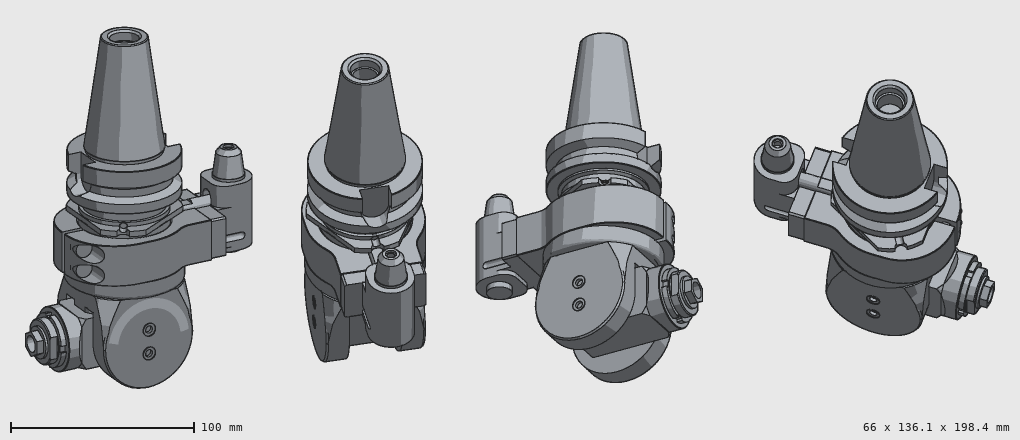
import cadquery as cq
import math


TOTAL_HEIGHT = 198.4

TAPER_TOP_R = 13.0
TAPER_BASE_R = 22.2
TAPER_BASE_Z = 133.3
TAPER_EDGE = 0.5
UNDERCUT_R = 21.6
FLANGE_R = 62.9 / 2
FLANGE_EDGE = 0.4
FLANGE_TOP_Z = 131.3
FLANGE_UPPER_Z = 121.6
V_GROOVE_R = 26.5
V_GROOVE_TOP_Z = 118.8
V_GROOVE_BOTTOM_Z = 114.3
FLANGE_LOWER_Z = 111.9
FLANGE_BOTTOM_Z = 106.1
SHOULDER_R = 25.0
SHOULDER_Z = 105.0
NECK_R = 23.0
NECK_TOP_Z = 104.0
NECK_BOTTOM_Z = 98.6
DRAWBAR_BORE_R = 8.1
DRAWBAR_BORE_DEPTH = 6.0
DRAWBAR_MOUTH_R = 9.3
DRAWBAR_HOLE_R = 7.0
DRAWBAR_HOLE_DEPTH = 10.0
KEY_SLOT_R = 8.1
KEY_SLOT_FLOOR_Y = 22.6
KEY_SLOT_CENTRE_Z = 118.5

PLATE_R = 32.1
PLATE_TOP_Z = 96.2
PLATE_BOTTOM_Z = 93.0
PLATE_FLAT_DISTANCE = 25.5
PLATE_NOTCH_R = 7.0 / 2
PLATE_SCREW_R = 4.2 / 2
PLATE_FLAT_ANGLES = (30, 150, 270)
PLATE_NOTCH_ANGLES = (90, 210, 330)

RING_R = 66.0 / 2
RING_EDGE = 0.4
RING_TOP_Z = 89.5
RING_BOTTOM_Z = 65.5
RING_FRONT_Y = 38.0
RING_FLAT_Y = 8.1
RING_SLOT_WIDTH = 3.0
RING_BORE_EDGE = 0.8
CLAMP_SCREW_ZS = (71.6, 83.5)
CLAMP_SCREW_R = 3.0
CLAMP_BORE_R = 10.5 / 2
CLAMP_HEAD_R = 5.0
CLAMP_AXIS_Y = 32.1
CLAMP_SEAT_X = 6.7
CLAMP_HEAD_X = 12.9
ARM_HALF_WIDTH = 46.2 / 2
ARM_FILLET_END_Y = 28.5
ARM_STEP_Y = 41.7
ARM_END_Y = 50.8
ARM_END_HALF_WIDTH = 22.8
ARM_CHAMFER_X = 1.2
ARM_CHAMFER_Z = 0.8

HOUSING_R = 12.9
HOUSING_Y = 64.9
HOUSING_FRONT_Y = 51.4
HOUSING_CORNER_R = 8.0
HOUSING_TOP_Z = 102.2
HOUSING_BOTTOM_Z = 63.0
LINK_BACK_Y = 61.1
LINK_BOTTOM_Z = 65.9
SIDE_GROOVE_R = 4.2 / 2
SIDE_GROOVE_Z = 71.2
SIDE_GROOVE_END_Y = 68.2
ROD_R = 9.0 / 2
ROD_Z = 88.7
ROD_FRONT_Y = 27.5
ROD_FLAT_END_Y = 40.7
ROD_FLAT_Z = 91.9
ROD_SLOT_TOP_Z = 97.0
ROD_SLOT_DEPTH = 4.0

PLUNGER_R = 14.0 / 2
PLUNGER_BOTTOM_Z = 59.7
PLUNGER_COLLAR_R = 18.0 / 2
PLUNGER_COLLAR_TOP_Z = 103.8
PLUNGER_CONE_R = 8.7
PLUNGER_SHOULDER_Z = 116.5
PLUNGER_TIP_R = 9.3 / 2
PLUNGER_TOP_Z = 119.5
PLUNGER_BORE_R = 3.0
PLUNGER_BORE_DEPTH = 1.4
PLUNGER_HOLE_R = 4.2 / 2
PLUNGER_HOLE_DEPTH = 4.0

BODY_NECK_R = 50.5 / 2
BODY_FLANGE_R = RING_R
BODY_FLANGE_BOTTOM_Z = 55.5
BODY_FLANGE_ROUND = 2.4
FORK_HALF_WIDTH = 27.8
FORK_R = 27.8
FORK_EDGE_X = 1.2
FORK_EDGE_R = 0.8
FORK_CORNER_TOP_R = 33.0
FORK_CORNER_MID_R = 37.0
FORK_CORNER_MID_Z = 41.7
FORK_CORNER_LOW_R = 38.7
FORK_SLOT_TOP_Z = 45.6
SEAT_R = 15.9
SEAT_Y = -13.0
CAP_R = 25.0
CAP_FACE_R = 19.5
CAP_HEIGHT = 0.7
CAP_SCREW_OFFSET = 14.0 / 2
CAP_SCREW_R = 3.8
CAP_SCREW_DEPTH = 0.5
CAP_SOCKET_R = 4.2 / 2
CAP_SOCKET_DEPTH = 2.5
PIVOT_Z = FORK_R

HEAD_HALF = 14.9
HEAD_BACK_Y = 14.9
HEAD_FLARE_Y = -34.7
COLLAR_R = 18.3
COLLAR_EDGE = 0.4
COLLAR_FRONT_Y = -44.5
HEAD_CORNER_R = 21.2

NUT_RING_R = 15.3
NUT_RING_LENGTH = 3.2
NUT_RING_NOTCH_WIDTH = 4.0
NUT_RING_NOTCH_DEPTH = 1.5
NUT_R = 12.9
NUT_LENGTH = 5.0
NUT_EDGE = 0.5
NUT_FLAT_X = 11.1
NUT_RIM = 0.5
WASHER_R = 9.1
WASHER_LENGTH = 1.4
HEX_FLATS = 12.9
HEX_LENGTH = 4.2
TOOL_BORE_R = 9.3 / 2
TOOL_BORE_DEPTH = 6.0


def turned_z(points):
    """Solid of revolution about Z from (radius, height) points."""
    return cq.Workplane("XZ").polyline(points).close().revolve(360, (0, 0, 0), (0, 1, 0))


def block(x0, x1, y0, y1, z0, z1):
    """Axis-aligned block between two corners."""
    return cq.Workplane("XY").box(x1 - x0, y1 - y0, z1 - z0, centered=False).translate((x0, y0, z0))


def rod_x(radius, x0, x1, y, z):
    """Cylinder along X."""
    return cq.Workplane("YZ").circle(radius).extrude(x1 - x0).translate((x0, y, z))


def rod_y(radius, y0, y1, x, z):
    """Cylinder along +Y."""
    return cq.Workplane("XZ").circle(radius).extrude(y0 - y1).translate((x, y0, z))


def rod_z(radius, z0, z1, x, y):
    """Cylinder along Z."""
    return cq.Workplane("XY").circle(radius).extrude(z1 - z0).translate((x, y, z0))


def about_z(shape, angle):
    """Shape turned about the Z axis."""
    return shape.rotate((0, 0, 0), (0, 0, 1), angle)


def ray(radius, angle, x=0, y=0):
    """Point at a radius and angle (radians) from a centre."""
    return (x + radius * math.cos(angle), y + radius * math.sin(angle))


def index_plate():
    """Round plate with three flats and, between them, three round notches."""
    plate = rod_z(PLATE_R, PLATE_BOTTOM_Z, PLATE_TOP_Z, 0, 0)
    for angle in PLATE_FLAT_ANGLES:
        flat = block(PLATE_FLAT_DISTANCE, PLATE_R, -PLATE_R, PLATE_R, PLATE_BOTTOM_Z, PLATE_TOP_Z)
        plate = plate.cut(about_z(flat, angle))
    for angle in PLATE_NOTCH_ANGLES:
        notch = rod_z(PLATE_NOTCH_R, PLATE_BOTTOM_Z, PLATE_TOP_Z, PLATE_R, 0)
        plate = plate.cut(about_z(notch, angle))
    return plate


def make_shank():
    body = turned_z([
        (0, TOTAL_HEIGHT),
        (TAPER_TOP_R - TAPER_EDGE, TOTAL_HEIGHT),
        (TAPER_TOP_R, TOTAL_HEIGHT - TAPER_EDGE),
        (TAPER_BASE_R, TAPER_BASE_Z),
        (UNDERCUT_R, TAPER_BASE_Z),
        (UNDERCUT_R, FLANGE_TOP_Z),
        (FLANGE_R - FLANGE_EDGE, FLANGE_TOP_Z),
        (FLANGE_R, FLANGE_TOP_Z - FLANGE_EDGE),
        (FLANGE_R, FLANGE_UPPER_Z),
        (V_GROOVE_R, V_GROOVE_TOP_Z),
        (V_GROOVE_R, V_GROOVE_BOTTOM_Z),
        (FLANGE_R, FLANGE_LOWER_Z),
        (FLANGE_R, FLANGE_BOTTOM_Z + FLANGE_EDGE),
        (FLANGE_R - FLANGE_EDGE, FLANGE_BOTTOM_Z),
        (SHOULDER_R, FLANGE_BOTTOM_Z),
        (SHOULDER_R, SHOULDER_Z),
        (NECK_R, NECK_TOP_Z),
        (NECK_R, NECK_BOTTOM_Z),
        (SHOULDER_R, NECK_BOTTOM_Z),
        (SHOULDER_R, PLATE_BOTTOM_Z),
        (0, PLATE_BOTTOM_Z),
    ])
    body = body.union(index_plate())

    mouth = DRAWBAR_MOUTH_R - DRAWBAR_BORE_R
    bore_floor = TOTAL_HEIGHT - DRAWBAR_BORE_DEPTH
    hole_floor = bore_floor - DRAWBAR_HOLE_DEPTH
    body = body.cut(turned_z([
        (0, TOTAL_HEIGHT),
        (DRAWBAR_MOUTH_R, TOTAL_HEIGHT),
        (DRAWBAR_BORE_R, TOTAL_HEIGHT - mouth),
        (DRAWBAR_BORE_R, bore_floor),
        (DRAWBAR_HOLE_R, bore_floor),
        (DRAWBAR_HOLE_R, hole_floor),
        (0, hole_floor),
    ]))

    for y0, y1 in ((-FLANGE_R, -KEY_SLOT_FLOOR_Y), (KEY_SLOT_FLOOR_Y, FLANGE_R)):
        body = body.cut(block(-KEY_SLOT_R, KEY_SLOT_R, y0, y1, KEY_SLOT_CENTRE_Z, FLANGE_TOP_Z))
        body = body.cut(rod_y(KEY_SLOT_R, y0, y1, 0, KEY_SLOT_CENTRE_Z))

    for angle in PLATE_NOTCH_ANGLES:
        hole = rod_x(PLATE_SCREW_R, NECK_R, PLATE_R, 0, PLATE_TOP_Z)
        body = body.cut(about_z(hole, angle))
    return body


def ring_outline():
    """Ring, squarer in front, whose flanks sweep into the arm through tangent fillets."""
    fillet_r = (ARM_HALF_WIDTH**2 + ARM_FILLET_END_Y**2 - RING_R**2) / (2 * (RING_R - ARM_HALF_WIDTH))
    fillet_x = ARM_HALF_WIDTH + fillet_r
    joint_angle = math.atan2(ARM_FILLET_END_Y, fillet_x)
    fillet_mid_angle = math.pi + joint_angle / 2

    corner_r = RING_FRONT_Y - RING_FLAT_Y
    corner_x = RING_R - corner_r

    arm_corner = (ARM_HALF_WIDTH, ARM_FILLET_END_Y)
    fillet_mid = ray(fillet_r, fillet_mid_angle, fillet_x, ARM_FILLET_END_Y)
    joint = ray(RING_R, joint_angle)
    ring_mid = ray(RING_R, joint_angle / 2)
    corner_mid = ray(corner_r, -math.pi / 4, corner_x, -RING_FLAT_Y)
    corner_end = (corner_x, -RING_FRONT_Y)

    def mirrored(point):
        return (-point[0], point[1])

    return (
        cq.Workplane("XY")
        .moveTo(ARM_HALF_WIDTH, ARM_STEP_Y)
        .lineTo(*arm_corner)
        .threePointArc(fillet_mid, joint)
        .threePointArc(ring_mid, (RING_R, 0))
        .lineTo(RING_R, -RING_FLAT_Y)
        .threePointArc(corner_mid, corner_end)
        .lineTo(*mirrored(corner_end))
        .threePointArc(mirrored(corner_mid), (-RING_R, -RING_FLAT_Y))
        .lineTo(-RING_R, 0)
        .threePointArc(mirrored(ring_mid), mirrored(joint))
        .threePointArc(mirrored(fillet_mid), mirrored(arm_corner))
        .lineTo(-ARM_HALF_WIDTH, ARM_STEP_Y)
        .close()
    )


def arm_end():
    """End of the arm, with its long edges chamfered."""
    inner_x = ARM_END_HALF_WIDTH - ARM_CHAMFER_X
    bottom_z = RING_BOTTOM_Z + RING_EDGE
    top_z = RING_TOP_Z - RING_EDGE
    low_z = bottom_z + ARM_CHAMFER_Z
    high_z = top_z - ARM_CHAMFER_Z
    return (
        cq.Workplane("XZ")
        .polyline([
            (-inner_x, bottom_z), (inner_x, bottom_z),
            (ARM_END_HALF_WIDTH, low_z), (ARM_END_HALF_WIDTH, high_z),
            (inner_x, top_z), (-inner_x, top_z),
            (-ARM_END_HALF_WIDTH, high_z), (-ARM_END_HALF_WIDTH, low_z),
        ])
        .close()
        .extrude(ARM_STEP_Y - ARM_END_Y)
        .translate((0, ARM_STEP_Y, 0))
    )


def plunger_housing():
    """Upright housing, round at the back, with the link that joins it to the arm."""
    front = block(-HOUSING_R, HOUSING_R, HOUSING_FRONT_Y, HOUSING_Y, HOUSING_BOTTOM_Z, HOUSING_TOP_Z)
    front = front.edges("|Z and <Y").fillet(HOUSING_CORNER_R)
    housing = front.union(rod_z(HOUSING_R, HOUSING_BOTTOM_Z, HOUSING_TOP_Z, 0, HOUSING_Y))
    housing = housing.union(block(-HOUSING_R, HOUSING_R, ARM_END_Y, LINK_BACK_Y, LINK_BOTTOM_Z, RING_TOP_Z))

    slot_end_y = HOUSING_FRONT_Y + ROD_SLOT_DEPTH
    slot_arc_z = ROD_SLOT_TOP_Z - ROD_R
    housing = housing.cut(block(-ROD_R, ROD_R, HOUSING_FRONT_Y, slot_end_y, RING_TOP_Z, slot_arc_z))
    housing = housing.cut(rod_y(ROD_R, HOUSING_FRONT_Y, slot_end_y, 0, slot_arc_z))

    groove_y = SIDE_GROOVE_END_Y - SIDE_GROOVE_R
    for x in (-HOUSING_R, HOUSING_R):
        groove = rod_y(SIDE_GROOVE_R, ARM_END_Y, groove_y, x, SIDE_GROOVE_Z)
        ball = cq.Workplane("XY").sphere(SIDE_GROOVE_R).translate((x, groove_y, SIDE_GROOVE_Z))
        housing = housing.cut(groove).cut(ball)
    return housing


def stop_rod():
    """Rod lying half sunk in the arm, flattened on top at its front end."""
    rod = rod_y(ROD_R, ROD_FRONT_Y, HOUSING_FRONT_Y + ROD_SLOT_DEPTH, 0, ROD_Z)
    return rod.cut(block(-ROD_R, ROD_R, ROD_FRONT_Y, ROD_FLAT_END_Y, ROD_FLAT_Z, ROD_Z + ROD_R))


def make_clamp_ring():
    ring = ring_outline().extrude(RING_TOP_Z - RING_BOTTOM_Z).translate((0, 0, RING_BOTTOM_Z))
    ring = ring.faces("<Z or >Z").edges().chamfer(RING_EDGE)

    ring = ring.cut(turned_z([
        (0, RING_BOTTOM_Z),
        (BODY_NECK_R, RING_BOTTOM_Z),
        (BODY_NECK_R, RING_TOP_Z - RING_BORE_EDGE),
        (BODY_NECK_R + RING_BORE_EDGE, RING_TOP_Z),
        (0, RING_TOP_Z),
    ]))

    half = RING_SLOT_WIDTH / 2
    ring = ring.cut(block(-half, half, -RING_FRONT_Y, 0, RING_BOTTOM_Z, RING_TOP_Z))

    for z in CLAMP_SCREW_ZS:
        ring = ring.cut(rod_x(CLAMP_BORE_R, CLAMP_SEAT_X, RING_R, -CLAMP_AXIS_Y, z))
        ring = ring.union(rod_x(CLAMP_HEAD_R, CLAMP_SEAT_X, CLAMP_HEAD_X, -CLAMP_AXIS_Y, z))
        ring = ring.union(rod_x(CLAMP_SCREW_R, -half, half, -CLAMP_AXIS_Y, z))

    ring = ring.union(arm_end()).union(plunger_housing()).union(stop_rod())
    return ring.cut(rod_z(PLUNGER_R, HOUSING_BOTTOM_Z, HOUSING_TOP_Z, 0, HOUSING_Y))


def make_plunger():
    bore_floor = PLUNGER_TOP_Z - PLUNGER_BORE_DEPTH
    hole_floor = bore_floor - PLUNGER_HOLE_DEPTH
    plunger = turned_z([
        (0, PLUNGER_BOTTOM_Z),
        (PLUNGER_R, PLUNGER_BOTTOM_Z),
        (PLUNGER_R, HOUSING_TOP_Z),
        (PLUNGER_COLLAR_R, HOUSING_TOP_Z),
        (PLUNGER_COLLAR_R, PLUNGER_COLLAR_TOP_Z),
        (PLUNGER_CONE_R, PLUNGER_COLLAR_TOP_Z),
        (PLUNGER_R, PLUNGER_SHOULDER_Z),
        (PLUNGER_TIP_R, PLUNGER_TOP_Z),
        (PLUNGER_BORE_R, PLUNGER_TOP_Z),
        (PLUNGER_BORE_R, bore_floor),
        (PLUNGER_HOLE_R, bore_floor),
        (PLUNGER_HOLE_R, hole_floor),
        (0, hole_floor),
    ])
    return plunger.translate((0, HOUSING_Y, 0))


def fork_cheeks():
    """Square upper part, corners turned conical, over a round lower part with bevelled rims."""
    top = block(-FORK_HALF_WIDTH, FORK_HALF_WIDTH, -FORK_R, FORK_R, PIVOT_Z, BODY_FLANGE_BOTTOM_Z)
    top = top.intersect(turned_z([
        (0, BODY_FLANGE_BOTTOM_Z),
        (FORK_CORNER_TOP_R, BODY_FLANGE_BOTTOM_Z),
        (FORK_CORNER_MID_R, FORK_CORNER_MID_Z),
        (FORK_CORNER_LOW_R, PIVOT_Z),
        (0, PIVOT_Z),
    ]))
    drum = (
        cq.Workplane("XY")
        .polyline([
            (-FORK_HALF_WIDTH, 0),
            (-FORK_HALF_WIDTH, FORK_R - FORK_EDGE_R),
            (FORK_EDGE_X - FORK_HALF_WIDTH, FORK_R),
            (FORK_HALF_WIDTH - FORK_EDGE_X, FORK_R),
            (FORK_HALF_WIDTH, FORK_R - FORK_EDGE_R),
            (FORK_HALF_WIDTH, 0),
        ])
        .close()
        .revolve(360, (0, 0, 0), (1, 0, 0))
        .translate((0, 0, PIVOT_Z))
    )
    return top.union(drum)


def bearing_cap():
    """Shallow cone on the -X cheek, centred on the pivot axis."""
    return (
        cq.Workplane("XY")
        .polyline([
            (-FORK_HALF_WIDTH, 0), (-FORK_HALF_WIDTH, CAP_R),
            (-FORK_HALF_WIDTH - CAP_HEIGHT, CAP_FACE_R), (-FORK_HALF_WIDTH - CAP_HEIGHT, 0),
        ])
        .close()
        .revolve(360, (0, 0, 0), (1, 0, 0))
        .translate((0, 0, PIVOT_Z))
    )


def make_fork_body():
    body = rod_z(BODY_FLANGE_R, BODY_FLANGE_BOTTOM_Z, RING_BOTTOM_Z, 0, 0)
    body = body.faces("<Z").edges().fillet(BODY_FLANGE_ROUND)
    body = body.union(rod_z(BODY_NECK_R, RING_BOTTOM_Z, PLATE_BOTTOM_Z, 0, 0))
    body = body.union(fork_cheeks())
    cap = bearing_cap()
    body = body.union(cap).union(cap.mirror("YZ"))

    face_x = FORK_HALF_WIDTH + CAP_HEIGHT
    for offset in (-CAP_SCREW_OFFSET, CAP_SCREW_OFFSET):
        for radius, depth in ((CAP_SCREW_R, CAP_SCREW_DEPTH), (CAP_SOCKET_R, CAP_SOCKET_DEPTH)):
            for x0 in (-face_x, face_x - depth):
                body = body.cut(rod_x(radius, x0, x0 + depth, 0, PIVOT_Z + offset))

    body = body.cut(block(-HEAD_HALF, HEAD_HALF, -FORK_R, FORK_R, 0, FORK_SLOT_TOP_Z))
    head_top_z = PIVOT_Z + HEAD_HALF
    seat = rod_z(SEAT_R, head_top_z, FORK_SLOT_TOP_Z, 0, SEAT_Y)
    seat = seat.intersect(block(-HEAD_HALF, HEAD_HALF, -FORK_R, FORK_R, head_top_z, FORK_SLOT_TOP_Z))
    return body.union(seat)


def square_at(y, half):
    """Square sketch across the cutter axis at a given y."""
    return cq.Workplane("XZ", origin=(0, y, PIVOT_Z)).rect(2 * half, 2 * half)


def make_swivel_head():
    flare_length = COLLAR_R - HEAD_HALF
    collar_back_y = HEAD_FLARE_Y - flare_length
    head = square_at(HEAD_BACK_Y, HEAD_HALF).extrude(HEAD_BACK_Y - HEAD_FLARE_Y)
    flare = square_at(HEAD_FLARE_Y, HEAD_HALF).workplane(offset=flare_length)
    head = head.union(flare.rect(2 * COLLAR_R, 2 * COLLAR_R).loft())
    head = head.union(square_at(collar_back_y, COLLAR_R).extrude(collar_back_y - COLLAR_FRONT_Y))

    corner_y = HEAD_FLARE_Y + HEAD_CORNER_R - COLLAR_R
    envelope = (
        cq.Workplane("XY")
        .polyline([
            (0, COLLAR_FRONT_Y), (COLLAR_R - COLLAR_EDGE, COLLAR_FRONT_Y),
            (COLLAR_R, COLLAR_FRONT_Y + COLLAR_EDGE), (COLLAR_R, HEAD_FLARE_Y),
            (HEAD_CORNER_R, corner_y), (HEAD_CORNER_R, HEAD_BACK_Y), (0, HEAD_BACK_Y),
        ])
        .close()
        .revolve(360, (0, 0, 0), (0, 1, 0))
        .translate((0, 0, PIVOT_Z))
    )
    return head.intersect(envelope)


def make_tool_spindle():
    nut_y = COLLAR_FRONT_Y - NUT_RING_LENGTH
    washer_y = nut_y - NUT_LENGTH
    hex_y = washer_y - WASHER_LENGTH
    tip_y = hex_y - HEX_LENGTH

    ring = rod_y(NUT_RING_R, nut_y, COLLAR_FRONT_Y, 0, 0)
    for angle in (0, 90, 180, 270):
        notch = block(NUT_RING_R - NUT_RING_NOTCH_DEPTH, NUT_RING_R, nut_y, COLLAR_FRONT_Y,
                      -NUT_RING_NOTCH_WIDTH / 2, NUT_RING_NOTCH_WIDTH / 2)
        ring = ring.cut(notch.rotate((0, 0, 0), (0, 1, 0), angle))

    nut = rod_y(NUT_R, washer_y, nut_y, 0, 0).faces("<Y").edges().chamfer(NUT_EDGE)
    for x0, x1 in ((-NUT_R, -NUT_FLAT_X), (NUT_FLAT_X, NUT_R)):
        nut = nut.cut(block(x0, x1, washer_y, nut_y - NUT_RIM, -NUT_R, NUT_R))
    washer = rod_y(WASHER_R, hex_y, washer_y, 0, 0)
    hexagon = cq.Workplane("XZ").polygon(6, HEX_FLATS / math.cos(math.pi / 6)).extrude(HEX_LENGTH)
    hexagon = hexagon.rotate((0, 0, 0), (0, 1, 0), 90).translate((0, hex_y, 0))
    spindle = ring.union(nut).union(washer).union(hexagon)
    spindle = spindle.cut(rod_y(TOOL_BORE_R, tip_y, tip_y + TOOL_BORE_DEPTH, 0, 0))
    return spindle.translate((0, 0, PIVOT_Z))


shank = make_shank()
clamp_ring = make_clamp_ring()
plunger = make_plunger()
fork_body = make_fork_body()
swivel_head = make_swivel_head()
tool_spindle = make_tool_spindle()

result = cq.Compound.makeCompound([
    shank.solids().val(),
    clamp_ring.solids().val(),
    plunger.solids().val(),
    fork_body.solids().val(),
    swivel_head.solids().val(),
    tool_spindle.solids().val(),
])